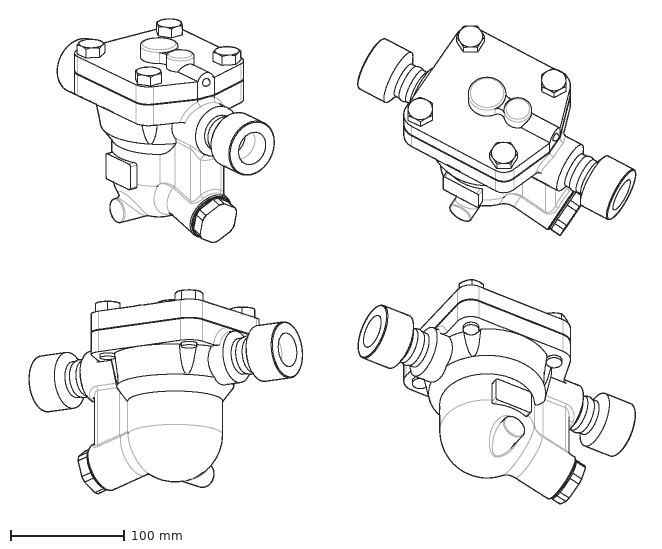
import cadquery as cq
import math


OVERALL_LENGTH = 258.0
PIPE_MID_X = 10.0
SOCKET_R = 25.0
SOCKET_LENGTH = 27.5
SOCKET_CHAMFER = 0.8
BORE_MOUTH_R = 14.9
BORE_R = 14.4
BORE_TAPER_DEPTH = 15.5
BORE_DEPTH = 30.0
NECK_R = 16.0
NECK_LENGTH = 16.5
BEAD_WIDTH = 6.8
BEAD_HEIGHT = 1.0
STUB_R = 23.0
CONE_ANGLE = 60.0
PIPE_FLANGE_FILLET = 4.0

FLANGE_HALF = 57.5
FLANGE_TIP_X = 70.0
FLANGE_TIP_HALF = 9.2
FLANGE_TAPER_X = 53.5
FLANGE_CORNER_R = 14.0
FLANGE_BOTTOM_Z = 7.3
GASKET_Z = 26.9
GASKET_THICKNESS = 0.6
GASKET_INSET = 0.3
COVER_TOP_Z = 44.0

BOLT_OFFSET = 43.0
BOLT_FLATS = 21.5
BOLT_HEAD_HEIGHT = 9.3
BOLT_TWIST = 2.0
BOLT_SHANK_R = 7.0
BOLT_END_Z = 4.4
FLUTE_R = 9.0
FLUTE_BOTTOM_Z = -19.0

BOSS_TOP_Z = 56.5
BOSS_EDGE_R = 1.8
CENTRE_BOSS_R = 16.6
SIDE_BOSS_R = 12.2
SIDE_BOSS_X = 31.7
WEB_BLEND_R = 6.0
WEB_TOP_Z = 54.0
RIDGE_R = 9.0
RIDGE_AXIS_Z = 41.5
RIDGE_PLUG_R = 3.6

BOWL_R = 42.0
BOWL_TOP_R = 57.0
BOWL_WAIST_R = 51.8
BOWL_WAIST_Z = -19.0
BOWL_NECK_Z = -32.2
DOME_Z = -62.4

RIB_HALF = 17.5
RIB_END_X = 77.2
RIB_CORNER_R = 6.5
RIB_BOTTOM_Z = -84.0
RIB_START_X = 35.0
RIB_PIPE_FILLET = 6.5
STUB_MARGIN = 1.0
RIB_BRANCH_FILLET = 3.0
BODY_BLEND_R = 16.0
BRANCH_R = 22.0
BRANCH_TILT = 15.0
BRANCH_LENGTH = 80.5
BRANCH_CHAMFER = 1.0
WASHER_R = 20.0
WASHER_THICKNESS = 1.5
PLUG_FLATS = 37.5
PLUG_HEIGHT = 9.8
PLUG_TOP_R = 20.0
PLUG_CORNER_R = 20.25

PLATE_WIDTH = 36.6
PLATE_BOTTOM_Z = -66.4
PLATE_TOP_Z = -42.3
PLATE_FACE_Y = -44.9
PLATE_CORNER_R = 2.0
DRAIN_R = 11.0
DRAIN_Z = -91.0
DRAIN_FACE_Y = -46.3
DRAIN_EDGE_R = 0.8
DRAIN_BLEND_R = 4.0

HEX_HALF_SECTOR = math.radians(30)
HEX_CHAMFER_ANGLE = math.radians(30)

PICK_MARGIN = 0.1


def edges_inside(shape, low, high):
    """Edges of the shape that lie wholly within the box from low to high."""
    return shape.edges(cq.selectors.BoxSelector(low, high, boundingbox=True))


def cylinder_z(x, y, radius, z_low, z_high):
    return cq.Workplane("XY", origin=(x, y, z_low)).circle(radius).extrude(z_high - z_low)


def cone_length(rise):
    return rise / math.tan(math.radians(CONE_ANGLE))


def pipe_end(side):
    """Socket, beaded neck and stub on one side, revolved about the pipe axis and run to the bowl axis."""
    x_end = PIPE_MID_X + side * OVERALL_LENGTH / 2
    stations = [0, SOCKET_LENGTH, cone_length(SOCKET_R - NECK_R), NECK_LENGTH, cone_length(STUB_R - NECK_R)]
    x = [x_end - side * sum(stations[: i + 1]) for i in range(len(stations))]
    bead_mid = (x[2] + x[3]) / 2
    profile = (
        cq.Workplane("XY")
        .moveTo(x_end, 0)
        .lineTo(x_end, SOCKET_R - SOCKET_CHAMFER)
        .lineTo(x_end - side * SOCKET_CHAMFER, SOCKET_R)
        .lineTo(x[1], SOCKET_R)
        .lineTo(x[2], NECK_R)
        .lineTo(bead_mid + side * BEAD_WIDTH / 2, NECK_R)
        .threePointArc((bead_mid, NECK_R + BEAD_HEIGHT), (bead_mid - side * BEAD_WIDTH / 2, NECK_R))
        .lineTo(x[3], NECK_R)
        .lineTo(x[4], STUB_R)
        .lineTo(0, STUB_R)
        .lineTo(0, 0)
        .close()
    )
    return profile.revolve(360, (0, 0, 0), (1, 0, 0))


def socket_bore(side):
    """Tapered mouth followed by a blind straight bore, cut from one pipe end."""
    x_end = PIPE_MID_X + side * OVERALL_LENGTH / 2
    x_taper = x_end - side * BORE_TAPER_DEPTH
    x_floor = x_end - side * BORE_DEPTH
    profile = cq.Workplane("XY").polyline(
        [(x_end, 0), (x_end, BORE_MOUTH_R), (x_taper, BORE_R), (x_floor, BORE_R), (x_floor, 0)]
    )
    return profile.close().revolve(360, (0, 0, 0), (1, 0, 0))


def flange_block(inset=0.0):
    outline = [
        (-FLANGE_HALF, -FLANGE_HALF),
        (FLANGE_TAPER_X, -FLANGE_HALF),
        (FLANGE_TIP_X, -FLANGE_TIP_HALF),
        (FLANGE_TIP_X, FLANGE_TIP_HALF),
        (FLANGE_TAPER_X, FLANGE_HALF),
        (-FLANGE_HALF, FLANGE_HALF),
    ]
    base = cq.Workplane("XY", origin=(0, 0, FLANGE_BOTTOM_Z)).polyline(outline).close()
    if inset:
        base = base.offset2D(-inset, "intersection")
    block = base.extrude(COVER_TOP_Z - FLANGE_BOTTOM_Z)
    return block.edges("|Z").edges("<X or >Y or <Y").fillet(FLANGE_CORNER_R - inset)


def flange_with_pipes():
    """Flange and cover block joined to both pipe ends, with the stubs blended into its sides."""
    joined = flange_block()
    for side in (-1, 1):
        joined = joined.union(pipe_end(side))
    low = (-FLANGE_HALF - PICK_MARGIN, -STUB_R - PICK_MARGIN, FLANGE_BOTTOM_Z - PICK_MARGIN)
    high = (FLANGE_TIP_X + PICK_MARGIN, STUB_R + PICK_MARGIN, STUB_R + PICK_MARGIN)
    seams = edges_inside(joined, low, high).edges("%CIRCLE or %ELLIPSE")
    return seams.fillet(PIPE_FLANGE_FILLET)


def gasket_groove():
    """Ring that leaves the gasket slightly recessed between the flange and the cover."""
    size = 3 * FLANGE_HALF
    slab = cq.Workplane("XY", origin=(0, 0, GASKET_Z)).rect(size, size).extrude(GASKET_THICKNESS)
    return slab.cut(flange_block(GASKET_INSET))


def hex_head(flats, height, top_radius, clip_radius):
    """Hexagon prism on Z = 0 with corners turned to clip_radius and chamfered to top_radius."""
    prism = cq.Workplane("XY").polygon(6, flats / math.cos(HEX_HALF_SECTOR)).extrude(height)
    drop = (clip_radius - top_radius) * math.tan(HEX_CHAMFER_ANGLE)
    turned = (
        cq.Workplane("XZ")
        .moveTo(0, 0)
        .lineTo(clip_radius, 0)
        .lineTo(clip_radius, height - drop)
        .lineTo(top_radius, height)
        .lineTo(0, height)
        .close()
        .revolve(360, (0, 0, 0), (0, 1, 0))
    )
    return prism.intersect(turned)


def bolt_places():
    """Bolt centres in turn around Z, each with the angle of its quarter turn."""
    radius = BOLT_OFFSET * math.sqrt(2)
    for quarter in range(4):
        angle = math.radians(45 + 90 * quarter)
        yield radius * math.cos(angle), radius * math.sin(angle), 90 * quarter


def bolts():
    corner_radius = BOLT_FLATS / 2 / math.cos(HEX_HALF_SECTOR)
    head = hex_head(BOLT_FLATS, BOLT_HEAD_HEIGHT, BOLT_FLATS / 2, corner_radius)
    parts = cq.Workplane("XY")
    for x, y, turn in bolt_places():
        turned_head = head.rotate((0, 0, 0), (0, 0, 1), BOLT_TWIST + turn)
        parts = parts.union(turned_head.translate((x, y, COVER_TOP_Z)))
        parts = parts.union(cylinder_z(x, y, BOLT_SHANK_R, BOLT_END_Z, COVER_TOP_Z))
    return parts


def cover_bosses():
    """Two round bosses on the cover joined by a web with concave sides."""
    centre_boss = cylinder_z(0, 0, CENTRE_BOSS_R, COVER_TOP_Z, BOSS_TOP_Z)
    side_boss = cylinder_z(SIDE_BOSS_X, 0, SIDE_BOSS_R, COVER_TOP_Z, BOSS_TOP_Z)
    bosses = centre_boss.union(side_boss).faces(">Z").edges().fillet(BOSS_EDGE_R)

    reach_a = CENTRE_BOSS_R + WEB_BLEND_R
    reach_b = SIDE_BOSS_R + WEB_BLEND_R
    blend_x = (SIDE_BOSS_X**2 + reach_a**2 - reach_b**2) / (2 * SIDE_BOSS_X)
    blend_y = math.sqrt(reach_a**2 - blend_x**2)
    web = (
        cq.Workplane("XY", origin=(0, 0, COVER_TOP_Z))
        .polyline([(0, 0), (blend_x, -blend_y), (SIDE_BOSS_X, 0), (blend_x, blend_y)])
        .close()
        .extrude(WEB_TOP_Z - COVER_TOP_Z)
    )
    for y in (-blend_y, blend_y):
        web = web.cut(cylinder_z(blend_x, y, WEB_BLEND_R, COVER_TOP_Z, WEB_TOP_Z))
    return bosses.union(web)


def vent_ridge():
    """Half-buried round ridge from the side boss to the flange tip, closed by a ball."""
    ridge = (
        cq.Workplane("YZ", origin=(SIDE_BOSS_X, 0, RIDGE_AXIS_Z))
        .circle(RIDGE_R)
        .extrude(FLANGE_TIP_X - SIDE_BOSS_X)
    )
    ball = cq.Workplane("XY", origin=(FLANGE_TIP_X, 0, RIDGE_AXIS_Z)).sphere(RIDGE_PLUG_R)
    return ridge.union(ball)


def bowl():
    """Conical bowl narrowing to a barrel with a round bottom, with the drain boss and bolt flutes."""
    shell = (
        cq.Workplane("XZ")
        .moveTo(0, FLANGE_BOTTOM_Z)
        .lineTo(BOWL_TOP_R, FLANGE_BOTTOM_Z)
        .lineTo(BOWL_WAIST_R, BOWL_WAIST_Z)
        .lineTo(BOWL_R, BOWL_NECK_Z)
        .lineTo(BOWL_R, DOME_Z)
        .radiusArc((0, DOME_Z - BOWL_R), BOWL_R)
        .close()
        .revolve(360, (0, 0, 0), (0, 1, 0))
        .union(drain_boss())
    )
    low = (-DRAIN_R - PICK_MARGIN, -BOWL_R, DRAIN_Z - DRAIN_R - PICK_MARGIN)
    high = (DRAIN_R + PICK_MARGIN, 0, DRAIN_Z + DRAIN_R + PICK_MARGIN)
    shell = edges_inside(shell, low, high).edges("not |Y").fillet(DRAIN_BLEND_R)
    for x, y, _ in bolt_places():
        shell = shell.cut(cylinder_z(x, y, FLUTE_R, FLUTE_BOTTOM_Z, FLANGE_BOTTOM_Z))
    return shell


def along_branch(shape):
    """Move a shape built on +Z so that it lies on the inclined branch axis."""
    return shape.rotate((0, 0, 0), (0, 1, 0), 90 + BRANCH_TILT).translate((0, 0, DOME_Z))


def branch():
    return along_branch(
        cq.Workplane("XY").circle(BRANCH_R).extrude(BRANCH_LENGTH).faces(">Z").chamfer(BRANCH_CHAMFER)
    )


def hanging_rib():
    """Upright rib below the outlet pipe, filleted where it meets the underside of the pipe."""
    length = RIB_END_X - RIB_START_X
    rib = (
        cq.Workplane("XY", origin=(RIB_START_X + length / 2, 0, RIB_BOTTOM_Z))
        .rect(length, 2 * RIB_HALF)
        .extrude(-RIB_BOTTOM_Z)
        .edges("|Z and >X")
        .fillet(RIB_CORNER_R)
    )
    stub_length = length + RIB_PIPE_FILLET + STUB_MARGIN
    stub = cq.Workplane("YZ", origin=(RIB_START_X, 0, 0)).circle(STUB_R).extrude(stub_length)
    joined = rib.union(stub)
    low = (RIB_START_X - PICK_MARGIN, -RIB_HALF - PICK_MARGIN, -STUB_R - PICK_MARGIN)
    high = (RIB_END_X + PICK_MARGIN, RIB_HALF + PICK_MARGIN, -RIB_CORNER_R)
    return edges_inside(joined, low, high).edges("not |Y").fillet(RIB_PIPE_FILLET)


def body_blends():
    """Concave blends from the barrel into the rib sides and from the dome into the branch."""
    reach = BOWL_R + BODY_BLEND_R

    y = RIB_HALF + BODY_BLEND_R
    x = math.sqrt(reach**2 - y**2)
    wedge = (
        cq.Workplane("XY", origin=(0, 0, DOME_Z))
        .polyline([(0, 0), (x, -y), (x, y)])
        .close()
        .extrude(-DOME_Z)
    )
    for side in (-1, 1):
        wedge = wedge.cut(cylinder_z(x, side * y, BODY_BLEND_R, DOME_Z, 0))

    radial = BRANCH_R + BODY_BLEND_R
    axial = math.sqrt(reach**2 - radial**2)
    share = BOWL_R / reach
    flare = (
        cq.Workplane("XZ")
        .moveTo(0, 0)
        .lineTo(radial * share, axial * share)
        .radiusArc((BRANCH_R, axial), BODY_BLEND_R)
        .lineTo(0, axial)
        .close()
        .revolve(360, (0, 0, 0), (0, 1, 0))
    )
    return wedge.union(along_branch(flare))


def body():
    """Bowl, rib and branch joined, with a small fillet where the rib and its blends meet the branch."""
    joined = bowl().union(hanging_rib()).union(branch()).union(body_blends())
    reach = BOWL_R + BODY_BLEND_R
    tangent_x = math.sqrt(reach**2 - (RIB_HALF + BODY_BLEND_R) ** 2) * BOWL_R / reach
    low = (tangent_x - PICK_MARGIN, -BOWL_R, DOME_Z - BRANCH_R)
    high = (RIB_END_X + PICK_MARGIN, BOWL_R, DOME_Z + RIB_BRANCH_FILLET)
    return edges_inside(joined, low, high).fillet(RIB_BRANCH_FILLET)


def branch_plug():
    """Washer and hexagon plug closing the branch."""
    washer = cq.Workplane("XY", origin=(0, 0, BRANCH_LENGTH)).circle(WASHER_R).extrude(WASHER_THICKNESS)
    head = hex_head(PLUG_FLATS, PLUG_HEIGHT, PLUG_TOP_R, PLUG_CORNER_R)
    head = head.translate((0, 0, BRANCH_LENGTH + WASHER_THICKNESS))
    return along_branch(washer.union(head))


def name_plate():
    height = PLATE_TOP_Z - PLATE_BOTTOM_Z
    plate = cq.Workplane("XZ", origin=(0, 0, (PLATE_TOP_Z + PLATE_BOTTOM_Z) / 2))
    return plate.rect(PLATE_WIDTH, height).extrude(-PLATE_FACE_Y).edges("|Y").fillet(PLATE_CORNER_R)


def drain_boss():
    boss = cq.Workplane("XZ", origin=(0, 0, DRAIN_Z)).circle(DRAIN_R).extrude(-DRAIN_FACE_Y)
    return boss.faces("<Y").edges().fillet(DRAIN_EDGE_R)


result = flange_with_pipes()
for feature in (body(), branch_plug(), name_plate(), cover_bosses(), vent_ridge()):
    result = result.union(feature)
result = result.cut(gasket_groove()).union(bolts())
for side in (-1, 1):
    result = result.cut(socket_bore(side))